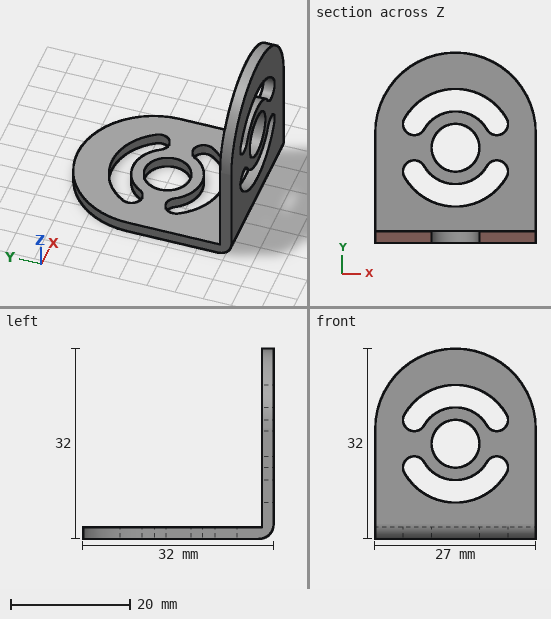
import cadquery as cq
import math

leg_length = 32.0
width = 27.0
thickness = 2.0
bend_radius = 2.5
hole_diameter = 8.0
hole_height = leg_length / 2
slot_radius = 8.0
slot_width = 3.75
slot_end_angle = 30.0

end_radius = width / 2
arc_centre = leg_length - end_radius


def polar(radius, degrees):
    """Point around the hole centre."""
    angle = math.radians(degrees)
    return (radius * math.cos(angle), hole_height + radius * math.sin(angle))


def arc_slot(plane, side):
    """Cutter for a round-ended arc slot; side is +1 or -1 from the hole centre."""
    outer = slot_radius + slot_width / 2
    inner = slot_radius - slot_width / 2
    start = side * slot_end_angle
    middle = side * 90
    end = side * (180 - slot_end_angle)
    band = (
        cq.Workplane(plane)
        .moveTo(*polar(outer, start))
        .threePointArc(polar(outer, middle), polar(outer, end))
        .lineTo(*polar(inner, end))
        .threePointArc(polar(inner, middle), polar(inner, start))
        .close()
        .extrude(thickness)
    )
    ends = (
        cq.Workplane(plane)
        .pushPoints([polar(slot_radius, start), polar(slot_radius, end)])
        .circle(slot_width / 2)
        .extrude(thickness)
    )
    return band.union(ends)


def leg(plane):
    """Round-topped plate with a centre hole and two arc slots."""
    plate = (
        cq.Workplane(plane)
        .moveTo(-end_radius, 0)
        .lineTo(end_radius, 0)
        .lineTo(end_radius, arc_centre)
        .threePointArc((0, leg_length), (-end_radius, arc_centre))
        .close()
        .extrude(thickness)
    )
    hole = (
        cq.Workplane(plane)
        .center(0, hole_height)
        .circle(hole_diameter / 2)
        .extrude(thickness)
    )
    return plate.cut(hole).cut(arc_slot(plane, 1)).cut(arc_slot(plane, -1))


base_plane = cq.Plane.XY()
upright_plane = cq.Plane(origin=(0, thickness, 0), xDir=(1, 0, 0), normal=(0, -1, 0))

bracket = leg(base_plane).union(leg(upright_plane))

result = bracket.edges("|X and <Y and <Z").fillet(bend_radius)